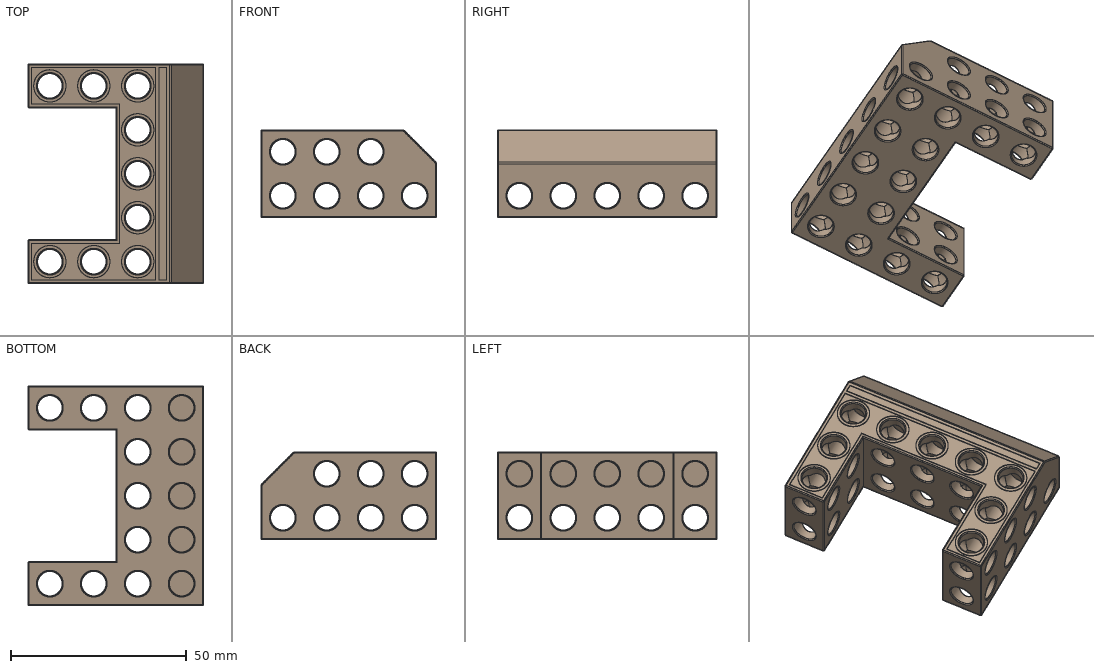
import cadquery as cq
import math

cell = 12.5
columns = 4
rows = 5
layers = 2
length = columns * cell
width = rows * cell
height = layers * cell

notch_length = 2 * cell
arm_width = cell

slope = 9.4

edge_chamfer = 0.3

hole_diameter = 7.0
mouth_chamfer = 0.3

recess_depth = 0.2
recess_border = 1.05
divider_width = 0.95
strip_start = 37.3
strip_width = 2.1
ring_diameter = 9.2


def cell_center(index):
    return (index + 0.5) * cell


def is_at(value, target):
    return math.isclose(value, target, abs_tol=6.25e-07)


def body():
    """U-shaped block with a sloped back; all edges are chamfered except the notch's inner corners."""
    profile = [
        (0, 0),
        (length, 0),
        (length, height - slope),
        (length - slope, height),
        (0, height),
    ]
    block = cq.Workplane("XZ").polyline(profile).close().extrude(-width)
    notch = cq.Workplane("XY").box(notch_length, width - 2 * arm_width, height, centered=False)
    block = block.cut(notch.translate((0, arm_width, 0)))
    corner_ys = (arm_width, width - arm_width)
    outer_edges = [
        edge
        for edge in block.edges().vals()
        if not (is_at(edge.Center().x, notch_length) and any(is_at(edge.Center().y, y) for y in corner_ys))
    ]
    return block.newObject(outer_edges).chamfer(edge_chamfer)


def hole(start, direction, depth, through=True):
    """Cylinder from a mouth face, flared at the mouth and, when through, at the far end."""
    radius = hole_diameter / 2
    flare = radius + mouth_chamfer
    profile = [(0, 0), (flare, 0), (radius, mouth_chamfer)]
    if through:
        profile += [(radius, depth - mouth_chamfer), (flare, depth)]
    else:
        profile += [(radius, depth)]
    profile += [(0, depth)]
    cutter = cq.Workplane("XZ").polyline(profile).close().revolve(360, (0, 0), (0, 1))
    plane = cq.Plane(origin=start, normal=direction)
    return cutter.val().moved(cq.Location(plane))


def in_notch(row):
    return 0 < row < rows - 1


def length_holes():
    """Holes along X: the lower layer runs through, the upper one stops below the slope."""
    cutters = []
    for row in range(rows):
        start_x = notch_length if in_notch(row) else 0
        for layer in range(layers):
            through = layer == 0
            end_x = length if through else (columns - 1) * cell
            start = (start_x, cell_center(row), cell_center(layer))
            cutters.append(hole(start, (1, 0, 0), end_x - start_x, through))
    return cutters


def width_holes():
    """Holes along Y: through each arm, and through the full width behind the notch."""
    cutters = []
    for column in range(columns):
        for layer in range(layers):
            x, z = cell_center(column), cell_center(layer)
            if column == columns - 1 and layer == layers - 1:
                continue
            if x < notch_length:
                for y in (0, width - arm_width):
                    cutters.append(hole((x, y, z), (0, 1, 0), arm_width))
            else:
                cutters.append(hole((x, 0, z), (0, 1, 0), width))
    return cutters


def through_height_hole_centers():
    return [
        (cell_center(column), cell_center(row))
        for column in range(columns - 1)
        for row in range(rows)
        if cell_center(column) > notch_length or not in_notch(row)
    ]


def height_holes():
    """Holes along Z: through below the flat top, blind from the bottom under the slope."""
    cutters = [hole((x, y, 0), (0, 0, 1), height) for x, y in through_height_hole_centers()]
    for row in range(rows):
        start = (cell_center(columns - 1), cell_center(row), 0)
        cutters.append(hole(start, (0, 0, 1), cell, through=False))
    return cutters


def top_recess():
    """U-shaped panel and a narrow strip beside it, sunk into the top face."""
    strip_end = strip_start + strip_width
    near, far = recess_border, width - recess_border
    arm_near, arm_far = arm_width - recess_border, width - arm_width + recess_border
    panel_end = strip_start - divider_width
    inner_end = notch_length + recess_border
    outline = [
        (recess_border, near),
        (panel_end, near),
        (panel_end, far),
        (recess_border, far),
        (recess_border, arm_far),
        (inner_end, arm_far),
        (inner_end, arm_near),
        (recess_border, arm_near),
    ]
    floor = cq.Workplane("XY").workplane(offset=height - recess_depth)
    panel = floor.polyline(outline).close().extrude(recess_depth)
    rings = floor.pushPoints(through_height_hole_centers()).circle(ring_diameter / 2).extrude(recess_depth)
    strip_outline = [(strip_start, near), (strip_end, near), (strip_end, far), (strip_start, far)]
    strip = floor.polyline(strip_outline).close().extrude(recess_depth)
    return panel.cut(rings).union(strip)


result = body().cut(top_recess())
for cutter in length_holes() + width_holes() + height_holes():
    result = result.cut(cq.Workplane(obj=cutter))